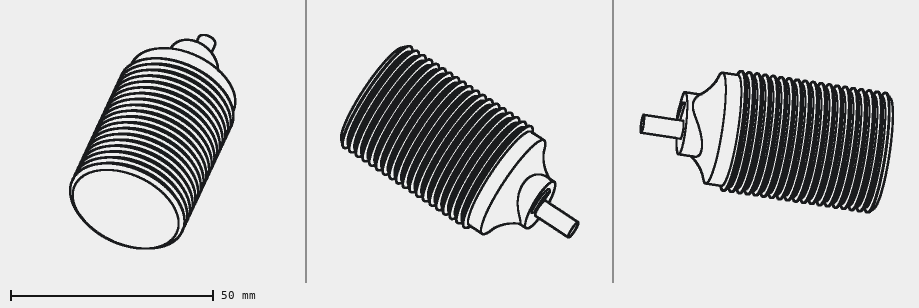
import cadquery as cq

overall_length = 60.3
thread_diameter = 30.0
thread_radius = thread_diameter / 2
body_radius = 13.9

crest_count = 19
first_crest_y = 1.2
last_crest_y = 37.6
pitch = (last_crest_y - first_crest_y) / (crest_count - 1)
crest_width = 0.2
crest_base_width = 1.45

shoulder_y = 42.2
boss_end_y = 50.35
boss_width = 13.0
boss_height = 17.6

neck_middle = (8.8, 45.5)
neck_top = (6.4, 49.3)

cable_diameter = 4.5
cable_z = -cable_diameter / 2

lamp_width = 7.65
lamp_height = 2.65
lamp_base_z = 3.0
lamp_projection = 0.65
lamp_taper = 25.0


def make_barrel_profile():
    """Half profile of the threaded barrel and neck, as (radius, Y) revolved about Y."""
    profile = cq.Workplane("XY").moveTo(0, 0).lineTo(body_radius, 0)
    for index in range(crest_count):
        crest_y = first_crest_y + index * pitch
        if index > 0:
            profile = profile.lineTo(body_radius, crest_y - crest_base_width / 2)
        profile = profile.lineTo(thread_radius, crest_y - crest_width / 2)
        profile = profile.lineTo(thread_radius, crest_y + crest_width / 2)
        profile = profile.lineTo(body_radius, crest_y + crest_base_width / 2)
    profile = profile.lineTo(body_radius, shoulder_y)
    profile = profile.threePointArc(neck_middle, neck_top)
    return profile.lineTo(0, neck_top[1]).close()


def plane_at(y, z=0.0):
    """Workplane facing +Y, with local X along -X and local Y along Z."""
    return cq.Workplane(cq.Plane(origin=(0, y, z), xDir=(-1, 0, 0), normal=(0, 1, 0)))


barrel = make_barrel_profile().revolve(360, (0, 0, 0), (0, 1, 0))

boss = (
    plane_at(shoulder_y)
    .ellipse(boss_width / 2, boss_height / 2)
    .extrude(boss_end_y - shoulder_y)
)

cable = (
    plane_at(shoulder_y, cable_z)
    .circle(cable_diameter / 2)
    .extrude(overall_length - shoulder_y)
)

lamp = (
    plane_at(boss_end_y, lamp_base_z)
    .moveTo(-lamp_width / 2, 0)
    .threePointArc((0, lamp_height), (lamp_width / 2, 0))
    .close()
    .extrude(lamp_projection, taper=lamp_taper)
)

result = barrel.union(boss).union(cable).union(lamp)